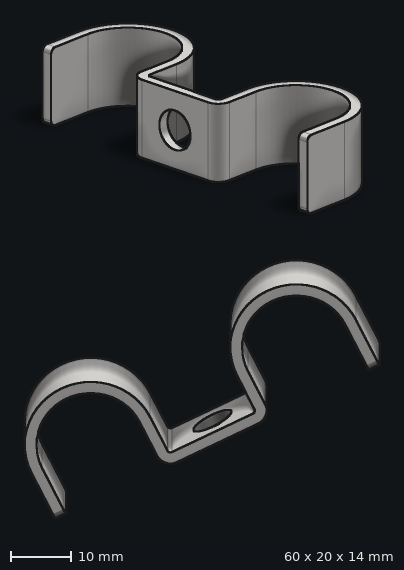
import cadquery as cq

length = 60.0
depth = 20.0
height = 14.0
thickness = 2.0

saddle_outer_radius = 11.0
saddle_inner_radius = saddle_outer_radius - thickness
saddle_x = length / 2 - saddle_outer_radius

bend_outer_radius = 2.5
bend_inner_radius = bend_outer_radius - thickness
hole_diameter = 7.0
leg_end_radius = 1.0

saddle_y = depth - saddle_outer_radius
web_half_length = saddle_x - saddle_inner_radius


def saddle(side):
    """Half ring with its straight outer leg; side is -1 or +1."""
    ring = (
        cq.Workplane("XY")
        .center(side * saddle_x, saddle_y)
        .circle(saddle_outer_radius)
        .circle(saddle_inner_radius)
        .extrude(height)
        .translate((0, 0, -height / 2))
    )
    lower_half = (
        cq.Workplane("XY")
        .box(length, depth, height, centered=(True, False, True))
        .translate((0, saddle_y - depth, 0))
    )
    leg_middle_x = side * (length - thickness) / 2
    outer_leg = (
        cq.Workplane("XY")
        .box(thickness, saddle_y, height, centered=(True, False, True))
        .edges("|X and <Y")
        .fillet(leg_end_radius)
        .translate((leg_middle_x, 0, 0))
    )
    return ring.cut(lower_half).union(outer_leg)


def web():
    """U-shaped middle: two inner legs, two bends and the drilled flat."""
    outer = (
        cq.Workplane("XY")
        .box(2 * web_half_length, saddle_y, height, centered=(True, False, True))
        .edges("|Z and <Y")
        .fillet(bend_outer_radius)
    )
    inner = (
        cq.Workplane("XY")
        .box(2 * (web_half_length - thickness), saddle_y, height, centered=(True, False, True))
        .edges("|Z and <Y")
        .fillet(bend_inner_radius)
        .translate((0, thickness, 0))
    )
    hole = cq.Workplane("XZ").circle(hole_diameter / 2).extrude(-2 * thickness)
    return outer.cut(inner).cut(hole)


result = web().union(saddle(-1)).union(saddle(1))